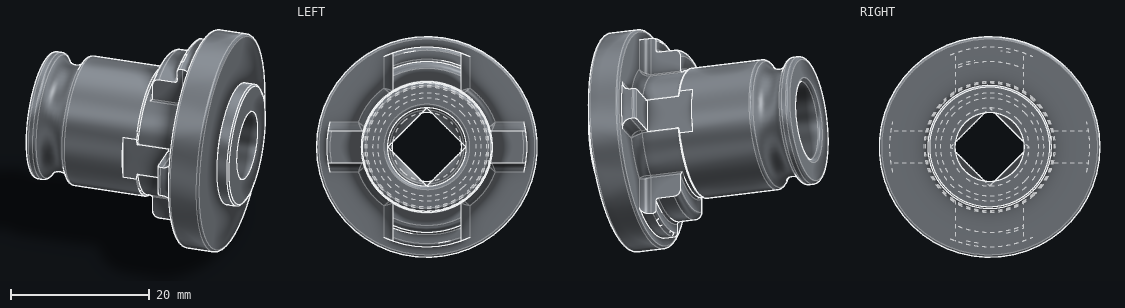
import cadquery as cq
import math


neck_start = 16.75
flat_start = 14.8
tall_lug_front = 17.95
lug_front = 21.7
flange_front = 23.8
flange_back = 28.48
rim_front = 29.02
total_length = 30.8

lip_radius = 18.65 / 2
body_radius = 19.0 / 2
neck_radius = 9.25
flange_radius = 32 / 2
hub_radius = 14.2 / 2
rim_radius = 17.9 / 2

groove_center = 3.52
groove_arc_radius = 2.18
groove_floor_radius = 7.85
groove_edge_fillet = 0.5
nose_fillet = 0.48

shoulder_outer_fillet = 0.1
shoulder_inner_fillet = body_radius - neck_radius - shoulder_outer_fillet
flange_edge_fillet = 0.35
rim_chamfer = 0.25

flat_distance = 8.93
lug_tip_radius = 14.5
lug_tip_fillet = 0.48
side_lug_half_width = 2.3
lug_root_radius = 9.92
lug_root_front = 17.15
tall_lug_half_width = 4.93
step_radius = 12.4
step_flat_radius = 22.8 / 2
step_outer_fillet = step_radius - step_flat_radius
step_inner_fillet = 0.35
flange_fillet = 1.3
foot_fillet = 0.32

counterbore_radius = 11.4 / 2
counterbore_depth = 3.97
counterbore_mouth_fillet = 0.5
counterbore_floor_fillet = 0.5
drill_point_angle = 140.0
square_side = 8.0
square_turn = 45.0
square_end = 14.72
shank_radius = 10.0 / 2

tolerance = 0.003


def turned(profile):
    """Revolve an X-radius outline about the X axis."""
    return profile.close().revolve(360, (0, 0, 0), (1, 0, 0))


def cylinder(radius, start, end):
    """Solid cylinder along the X axis between two stations."""
    return cq.Workplane("YZ", origin=(start, 0, 0)).circle(radius).extrude(end - start)


def axis_distance(point):
    """Distance of a point from the X axis."""
    return math.hypot(point.y, point.z)


def is_circle_at(edge, x, radius):
    """True for an arc around the X axis at this station and radius."""
    if edge.geomType() != "CIRCLE" or abs(edge.Center().x - x) > tolerance:
        return False
    return abs(axis_distance(edge.positionAt(0.5)) - radius) < tolerance


def fillet_where(shape, radius, test):
    """Fillet every edge of the shape that passes the test."""
    return shape.newObject([edge for edge in shape.edges().vals() if test(edge)]).fillet(radius)


def groove_half_width(radius):
    """Half width of the groove where its arc meets a cylinder of this radius."""
    height = groove_floor_radius + groove_arc_radius - radius
    return math.sqrt(groove_arc_radius**2 - height**2)


def nose_and_neck():
    """Lip, arc groove, body cylinder and the slightly smaller neck."""
    groove_left = groove_center - groove_half_width(lip_radius)
    groove_right = groove_center + groove_half_width(body_radius)
    diagonal = math.sqrt(0.5)
    step_x = neck_start + shoulder_outer_fillet
    outer_mid = (
        neck_start + shoulder_outer_fillet * diagonal,
        body_radius - shoulder_outer_fillet * (1 - diagonal),
    )
    inner_mid = (
        step_x + shoulder_inner_fillet * (1 - diagonal),
        neck_radius + shoulder_inner_fillet * (1 - diagonal),
    )
    shape = turned(
        cq.Workplane("XY")
        .moveTo(0, 0)
        .lineTo(0, lip_radius)
        .lineTo(groove_left, lip_radius)
        .threePointArc((groove_center, groove_floor_radius), (groove_right, body_radius))
        .lineTo(neck_start, body_radius)
        .threePointArc(outer_mid, (step_x, body_radius - shoulder_outer_fillet))
        .threePointArc(inner_mid, (step_x + shoulder_inner_fillet, neck_radius))
        .lineTo(flange_front, neck_radius)
        .lineTo(flange_front, 0)
    )
    shape = fillet_where(shape, groove_edge_fillet, lambda edge: is_circle_at(edge, groove_left, lip_radius))
    shape = fillet_where(shape, groove_edge_fillet, lambda edge: is_circle_at(edge, groove_right, body_radius))
    return shape.faces("<X").edges().fillet(nose_fillet)


def side_flats():
    """Cutters for the two flats on the -Y and +Y sides."""
    length = lug_front - flat_start
    size = (length, flange_radius, 2 * flange_radius)
    cutter = cq.Workplane("XY").box(*size, centered=(False, False, True))
    cutter = cutter.translate((flat_start, flat_distance, 0))
    return cutter.union(cutter.mirror("XZ"))


def lug_tips():
    """Round envelope shared by the outer ends of all four lugs."""
    disc = cylinder(lug_tip_radius, lug_front, flange_front)
    return disc.faces("<X").edges().fillet(lug_tip_fillet)


def side_lugs():
    """Lugs on the Y sides, with a low root that runs forward to the shoulder."""
    root = cylinder(lug_root_radius, lug_root_front, flange_front)
    bar = cq.Workplane("YZ", origin=(lug_root_front, 0, 0)).rect(2 * flange_radius, 2 * side_lug_half_width)
    return bar.extrude(flange_front - lug_root_front).intersect(root.union(lug_tips()))


def tall_lugs():
    """Wide lugs on the Z sides, stepped down in front of the tip."""
    stepped = cylinder(step_radius, tall_lug_front, flange_front)
    stepped = stepped.faces("<X").edges().fillet(step_outer_fillet)
    stepped = stepped.union(lug_tips())
    stepped = fillet_where(stepped, step_inner_fillet, lambda edge: is_circle_at(edge, lug_front, step_radius))
    bar = cq.Workplane("YZ", origin=(tall_lug_front, 0, 0)).rect(2 * tall_lug_half_width, 2 * flange_radius)
    return bar.extrude(flange_front - tall_lug_front).intersect(stepped)


def is_lug_foot(edge):
    """True where a lug meets the neck: its flanks and the front of a tall lug."""
    if edge.geomType() != "LINE":
        return is_circle_at(edge, tall_lug_front, neck_radius)
    ends = (edge.startPoint(), edge.endPoint())
    on_neck = all(abs(axis_distance(end) - neck_radius) < tolerance for end in ends)
    reaches_flange = max(end.x for end in ends) > flange_front - tolerance
    on_seam = abs(edge.Center().z) < tolerance
    return on_neck and reaches_flange and not on_seam


def is_flange_corner(edge):
    """True where the neck and the lug flanks meet the flange, leaving out the lug tips."""
    points = [edge.positionAt(fraction) for fraction in (0, 0.5, 1)]
    on_face = all(abs(point.x - flange_front) < tolerance for point in points)
    return on_face and axis_distance(points[1]) < lug_tip_radius - tolerance


def flange():
    """Round flange disc with both rims rounded."""
    disc = cylinder(flange_radius, flange_front, flange_back)
    return disc.edges().fillet(flange_edge_fillet)


def rear_rim():
    """Short hub and the rim behind it."""
    hub = cylinder(hub_radius, flange_back, rim_front)
    rim = cylinder(rim_radius, rim_front, total_length)
    return hub.union(rim.faces(">X").edges().chamfer(rim_chamfer))


def bore():
    """Cutter for the nose counterbore, the square socket and the rear shank hole."""
    point_length = counterbore_radius / math.tan(math.radians(drill_point_angle / 2))
    counterbore = turned(
        cq.Workplane("XY")
        .lineTo(0, counterbore_radius)
        .lineTo(counterbore_depth, counterbore_radius)
        .lineTo(counterbore_depth + point_length, 0)
    )
    counterbore = fillet_where(
        counterbore,
        counterbore_floor_fillet,
        lambda edge: is_circle_at(edge, counterbore_depth, counterbore_radius),
    )
    square_front = counterbore_depth - counterbore_floor_fillet
    square = cq.Workplane("YZ", origin=(square_front, 0, 0)).rect(square_side, square_side)
    square = square.extrude(square_end - square_front).rotate((0, 0, 0), (1, 0, 0), square_turn)
    return counterbore.union(square).union(cylinder(shank_radius, square_end, total_length))


shape = nose_and_neck().union(side_lugs()).union(tall_lugs())
shape = fillet_where(shape, foot_fillet, is_lug_foot)
shape = fillet_where(shape.union(flange()), flange_fillet, is_flange_corner)
shape = shape.cut(side_flats()).union(rear_rim()).cut(bore())
result = fillet_where(
    shape, counterbore_mouth_fillet, lambda edge: is_circle_at(edge, 0, counterbore_radius)
)